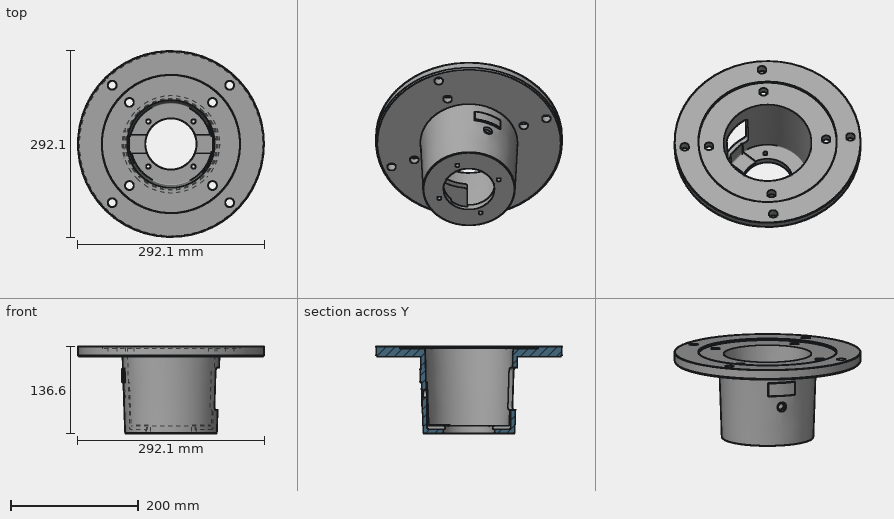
import cadquery as cq
import math

TOTAL_HEIGHT = 136.59
FLANGE_DIAMETER = 292.1
FLANGE_THICKNESS = 16.3
FLANGE_TOP_CHAMFER = 0.8
FLANGE_BOTTOM_CHAMFER = 2.4
PILOT_DIAMETER = 215.9
PILOT_DEPTH = 3.0
PILOT_CHAMFER = 0.8

BOLT_COUNT = 4
FIRST_BOLT_ANGLE = 45
OUTER_BOLT_CIRCLE = 260.35
INNER_BOLT_CIRCLE = 184.15
FLANGE_BOLT_DIAMETER = 13.5
PUMP_BOLT_CIRCLE = 100.0
PUMP_BOLT_DIAMETER = 6.6

DRAFT = math.tan(math.radians(2.0))
HUB_TOP_RADIUS = 76.2
HUB_NECK_HEIGHT = 1.5
HUB_BOTTOM_CHAMFER = 1.0
CAVITY_TOP_RADIUS = 68.8
FLOOR_THICKNESS = 12.0
FLOOR_FILLET = 1.5
CENTER_BORE_DIAMETER = 80.0

CHANNEL_WIDTH = 28.6
CHANNEL_LENGTH = 130.8
CHANNEL_DEPTH = 5.0
CHANNEL_FILLET = 2.4

WINDOW_HALF_ANGLE = 21.6
WINDOW_INNER_REACH = 50.0
WINDOW_BOTTOM = 37.2
WINDOW_TOP = 103.2
WINDOW_CORNER_RADIUS = 6.0

SIDE_HOLE_HEIGHT = 62.3
SIDE_HOLE_DIAMETER = 10.3
SIDE_HOLE_MOUTH_DIAMETER = 15.3
PLATE_WIDTH = 44.8
PLATE_BOTTOM = 80.0
PLATE_TOP = 102.2
PLATE_CORNER_RADIUS = 2.5
PLATE_RADIUS = 76.9
PLATE_CHAMFER = 1.2

FLANGE_BOTTOM = TOTAL_HEIGHT - FLANGE_THICKNESS
PILOT_FLOOR = TOTAL_HEIGHT - PILOT_DEPTH
NECK_BOTTOM = FLANGE_BOTTOM - HUB_NECK_HEIGHT
HUB_BOTTOM_RADIUS = HUB_TOP_RADIUS - NECK_BOTTOM * DRAFT
CAVITY_BOTTOM_RADIUS = CAVITY_TOP_RADIUS - (PILOT_FLOOR - FLOOR_THICKNESS) * DRAFT
SIDE_REACH = FLANGE_DIAMETER / 2


def cylinder(diameter, bottom, top):
    return cq.Workplane("XY").workplane(offset=bottom).circle(diameter / 2).extrude(top - bottom)


def revolve(points):
    """Turn a closed (radius, z) outline about the Z axis."""
    return cq.Workplane("XZ").polyline(points).close().revolve(360, (0, 0, 0), (0, 1, 0))


def make_flange():
    flange = cylinder(FLANGE_DIAMETER, FLANGE_BOTTOM, TOTAL_HEIGHT)
    flange = flange.faces(">Z").edges().chamfer(FLANGE_TOP_CHAMFER)
    return flange.faces("<Z").edges().chamfer(FLANGE_BOTTOM_CHAMFER)


def make_hub():
    hub = revolve([
        (0, 0),
        (HUB_BOTTOM_RADIUS, 0),
        (HUB_TOP_RADIUS, NECK_BOTTOM),
        (HUB_TOP_RADIUS, PILOT_FLOOR),
        (0, PILOT_FLOOR),
    ])
    return hub.faces("<Z").edges().chamfer(HUB_BOTTOM_CHAMFER)


def make_name_plate():
    """Rounded rectangle wrapped around the -X wall, with a chamfered rim."""
    panel = (
        cq.Workplane("YZ")
        .center(0, (PLATE_BOTTOM + PLATE_TOP) / 2)
        .rect(PLATE_WIDTH, PLATE_TOP - PLATE_BOTTOM)
        .extrude(-SIDE_REACH)
        .edges("|X")
        .fillet(PLATE_CORNER_RADIUS)
    )
    plate = panel.intersect(cylinder(2 * PLATE_RADIUS, PLATE_BOTTOM, PLATE_TOP))
    return plate.faces("<X").edges().chamfer(PLATE_CHAMFER)


def make_pilot_recess():
    pilot_radius = PILOT_DIAMETER / 2
    return revolve([
        (0, PILOT_FLOOR),
        (pilot_radius, PILOT_FLOOR),
        (pilot_radius, TOTAL_HEIGHT - PILOT_CHAMFER),
        (pilot_radius + PILOT_CHAMFER, TOTAL_HEIGHT),
        (0, TOTAL_HEIGHT),
    ])


def make_cavity():
    cavity = revolve([
        (0, FLOOR_THICKNESS),
        (CAVITY_BOTTOM_RADIUS, FLOOR_THICKNESS),
        (CAVITY_TOP_RADIUS, PILOT_FLOOR),
        (0, PILOT_FLOOR),
    ])
    return cavity.faces("<Z").edges().fillet(FLOOR_FILLET)


def make_channel():
    """Straight channel in the floor whose flat ends also cut into the tapered wall."""
    channel = (
        cq.Workplane("XY")
        .workplane(offset=FLOOR_THICKNESS - CHANNEL_DEPTH)
        .rect(CHANNEL_LENGTH, CHANNEL_WIDTH)
        .extrude(PILOT_FLOOR - FLOOR_THICKNESS + CHANNEL_DEPTH)
    )
    return channel.faces("<Z").edges().fillet(CHANNEL_FILLET)


def make_bolt_holes(bolt_circle, diameter):
    """Four through holes, one on each diagonal."""
    return (
        cq.Workplane("XY")
        .polarArray(bolt_circle / 2, FIRST_BOLT_ANGLE, 360, BOLT_COUNT)
        .circle(diameter / 2)
        .extrude(TOTAL_HEIGHT)
    )


def make_window():
    """Wedge with radial side walls and rounded corners, reaching out through the +X wall."""
    spread = math.tan(math.radians(WINDOW_HALF_ANGLE))
    wedge = (
        cq.Workplane("XY")
        .workplane(offset=WINDOW_BOTTOM)
        .polyline([
            (WINDOW_INNER_REACH, -WINDOW_INNER_REACH * spread),
            (SIDE_REACH, -SIDE_REACH * spread),
            (SIDE_REACH, SIDE_REACH * spread),
            (WINDOW_INNER_REACH, WINDOW_INNER_REACH * spread),
        ])
        .close()
        .extrude(WINDOW_TOP - WINDOW_BOTTOM)
    )
    long_edges = wedge.edges("#Z").edges("not(|Y)")
    return long_edges.fillet(WINDOW_CORNER_RADIUS)


def make_side_hole():
    """Radial hole through the -X wall with a 45 degree countersunk mouth."""
    hole_radius = SIDE_HOLE_DIAMETER / 2
    mouth_radius = SIDE_HOLE_MOUTH_DIAMETER / 2
    wall_radius = HUB_TOP_RADIUS - (NECK_BOTTOM - SIDE_HOLE_HEIGHT) * DRAFT
    sink_depth = mouth_radius - hole_radius
    outline = [
        (0, 0),
        (0, hole_radius),
        (-wall_radius + sink_depth, hole_radius),
        (-wall_radius, mouth_radius),
        (-SIDE_REACH, mouth_radius),
        (-SIDE_REACH, 0),
    ]
    hole = cq.Workplane("XY").polyline(outline).close().revolve(360, (0, 0, 0), (1, 0, 0))
    return hole.translate((0, 0, SIDE_HOLE_HEIGHT))


result = make_flange().union(make_hub()).union(make_name_plate())
result = result.cut(make_pilot_recess()).cut(make_cavity()).cut(make_channel())
result = result.cut(cylinder(CENTER_BORE_DIAMETER, 0, TOTAL_HEIGHT))
result = result.cut(make_bolt_holes(OUTER_BOLT_CIRCLE, FLANGE_BOLT_DIAMETER))
result = result.cut(make_bolt_holes(INNER_BOLT_CIRCLE, FLANGE_BOLT_DIAMETER))
result = result.cut(make_bolt_holes(PUMP_BOLT_CIRCLE, PUMP_BOLT_DIAMETER))
result = result.cut(make_window())
result = result.cut(make_side_hole())